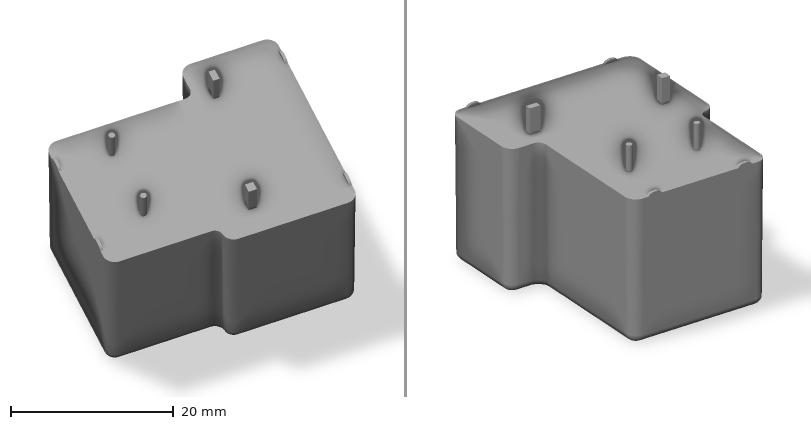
import cadquery as cq
import math

length_x = 27.4
length_y = 32.52
total_height = 23.75
housing_height = 20.05
draft_angle = 0.5
corner_radius = 1.55
notch_radius = 1.07
floor_radius = 1.07

right = length_x / 2
left = -right
back = length_y / 2
front = -back
narrow_left = -8.95
narrow_right = 11.35
left_step_y = 3.55
right_corner_center_y = 0.15

bump_width = 2.08
bump_flat = 0.3
bump_height = 0.45
bump_depth = 0.4
bump_top = housing_height + bump_height
front_bump_xs = (-5.53, 7.95)
back_bump_xs = (-10.3, 10.25)

pin_height = total_height - housing_height
round_pin_diameter = 0.8
round_pin_xs = (-4.52, 5.63)
round_pin_y = -9.15
wide_blade_size = (1.53, 0.85)
wide_blade_center = (-8.33, 6.05)
square_blade_size = (1.2, 1.1)
square_blade_center = (9.45, 3.58)


def make_outline():
    """Closed stepped outline at the level of the bump tops."""
    r = corner_radius
    n = notch_radius
    diagonal = math.sqrt(0.5)
    bulge = r * (1 - diagonal)
    notch_bulge = n * (1 - diagonal)

    convex_x = right - r
    concave_x = narrow_right + n
    center_distance = r + n
    shift_x = concave_x - convex_x
    drop_y = math.sqrt(center_distance**2 - shift_x**2)
    concave_y = right_corner_center_y - drop_y
    touch_angle = math.atan2(-drop_y, shift_x)
    convex_mid_angle = touch_angle / 2
    concave_mid_angle = math.pi + convex_mid_angle

    def on_convex(angle):
        return (convex_x + r * math.cos(angle), right_corner_center_y + r * math.sin(angle))

    def on_concave(angle):
        return (concave_x + n * math.cos(angle), concave_y + n * math.sin(angle))

    return (
        cq.Workplane("XY", origin=(0, 0, bump_top))
        .moveTo(left + r, back)
        .lineTo(right - r, back)
        .threePointArc((right - bulge, back - bulge), (right, back - r))
        .lineTo(right, right_corner_center_y)
        .threePointArc(on_convex(convex_mid_angle), on_convex(touch_angle))
        .threePointArc(on_concave(concave_mid_angle), (narrow_right, concave_y))
        .lineTo(narrow_right, front + r)
        .threePointArc((narrow_right - bulge, front + bulge), (narrow_right - r, front))
        .lineTo(narrow_left + r, front)
        .threePointArc((narrow_left + bulge, front + bulge), (narrow_left, front + r))
        .lineTo(narrow_left, left_step_y - n)
        .threePointArc((narrow_left - notch_bulge, left_step_y - notch_bulge), (narrow_left - n, left_step_y))
        .lineTo(left + r, left_step_y)
        .threePointArc((left + bulge, left_step_y + bulge), (left, left_step_y + r))
        .lineTo(left, back - r)
        .threePointArc((left + bulge, back - bulge), (left + r, back))
        .close()
    )


def make_bump(center_x, outer_y, inward):
    """Arch standing on the top face at one rim; inward is +1 or -1 along Y."""
    half_width = bump_width / 2
    half_flat = bump_flat / 2
    run = half_width - half_flat
    arc_radius = (run**2 + bump_height**2) / (2 * bump_height)
    mid_angle = math.asin(run / arc_radius) / 2
    mid_x = half_flat + arc_radius * math.sin(mid_angle)
    mid_z = bump_height - arc_radius * (1 - math.cos(mid_angle))
    return (
        cq.Workplane("XZ", origin=(center_x, outer_y, housing_height))
        .moveTo(-half_width, 0)
        .threePointArc((-mid_x, mid_z), (-half_flat, bump_height))
        .lineTo(half_flat, bump_height)
        .threePointArc((mid_x, mid_z), (half_width, 0))
        .close()
        .extrude(-inward * bump_depth)
    )


def make_housing():
    """Drafted block with a rounded floor edge; its walls run on up the outer faces of the bumps."""
    block = make_outline().extrude(-bump_top, taper=draft_angle)
    block = block.faces("<Z").edges().fillet(floor_radius)
    envelope = cq.Workplane("XY").box(length_x, length_y, housing_height, centered=(True, True, False))
    for x in front_bump_xs:
        envelope = envelope.union(make_bump(x, front, 1))
    for x in back_bump_xs:
        envelope = envelope.union(make_bump(x, back, -1))
    return block.intersect(envelope).solids()


def make_round_pin(x):
    return (
        cq.Workplane("XY", origin=(x, round_pin_y, housing_height))
        .circle(round_pin_diameter / 2)
        .extrude(pin_height)
    )


def make_blade(size, center):
    return (
        cq.Workplane("XY", origin=(*center, housing_height))
        .rect(*size)
        .extrude(pin_height)
    )


housing = make_housing()
round_pins = [make_round_pin(x) for x in round_pin_xs]
wide_blade = make_blade(wide_blade_size, wide_blade_center)
square_blade = make_blade(square_blade_size, square_blade_center)

result = cq.Compound.makeCompound([
    housing.val(),
    *[pin.val() for pin in round_pins],
    wide_blade.val(),
    square_blade.val(),
])